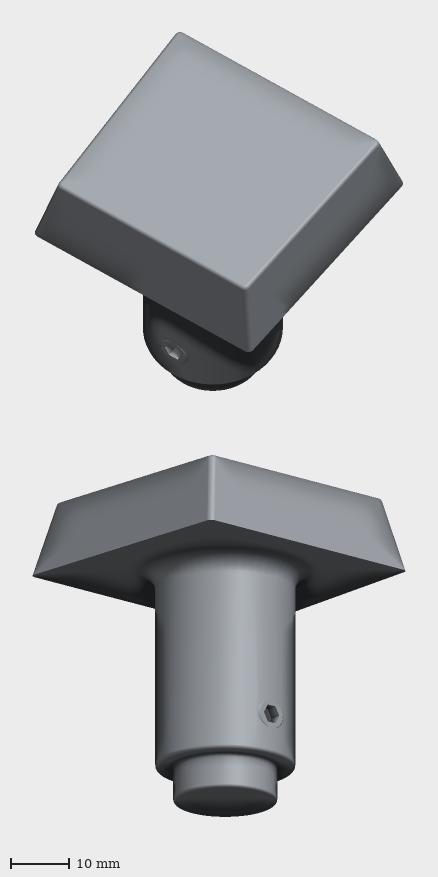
import cadquery as cq
import math

total_height = 54.0
spigot_height = 6.0
head_height = 13.0
head_base_z = total_height - head_height

stem_diameter = 24.0
spigot_diameter = 17.8
neck_fillet = 3.0
stem_edge_fillet = 0.6
spigot_root_fillet = 0.5
spigot_tip_fillet = 0.5

head_depth = 45.0
head_back_width = 48.05
head_flare_angle = 2.0
head_draft_angle = 13.0
head_offset_y = 0.75
head_corner_fillet = 1.0
head_top_fillet = 0.65

screw_diameter = 6.0
screw_face_diameter = 5.0
screw_length = 6.0
screw_height = 7.0
screw_z = spigot_height + screw_height
screw_chamfer = (screw_diameter - screw_face_diameter) / 2
hex_across_flats = 3.0
hex_sides = 6
hex_across_corners = hex_across_flats / math.cos(math.pi / hex_sides)
hex_depth = 2.0

screw_face_plane = cq.Plane(
    origin=(0, -stem_diameter / 2, screw_z), xDir=(1, 0, 0), normal=(0, -1, 0)
)

arc_mid_share = 1 - math.sqrt(0.5)


def make_head():
    """Drafted trapezoidal block with rounded corners and a rounded top edge."""
    narrowing = head_depth * math.tan(math.radians(head_flare_angle))
    back_half = head_back_width / 2
    front_half = back_half - narrowing
    back_y = head_offset_y + head_depth / 2
    front_y = head_offset_y - head_depth / 2
    block = (
        cq.Workplane("XY")
        .workplane(offset=head_base_z)
        .polyline([
            (-front_half, front_y),
            (front_half, front_y),
            (back_half, back_y),
            (-back_half, back_y),
        ])
        .close()
        .extrude(head_height, taper=head_draft_angle)
    )
    rounded = block.edges("not(#Z)").fillet(head_corner_fillet)
    return rounded.faces(">Z").edges().fillet(head_top_fillet)


def make_stem():
    """Stem and spigot as one turned profile, flared where it meets the head."""
    stem_radius = stem_diameter / 2
    spigot_radius = spigot_diameter / 2
    flare_mid = neck_fillet * arc_mid_share
    edge_mid = stem_edge_fillet * arc_mid_share
    root_mid = spigot_root_fillet * arc_mid_share
    tip_mid = spigot_tip_fillet * arc_mid_share
    profile = (
        cq.Workplane("XZ")
        .moveTo(0, 0)
        .lineTo(spigot_radius - spigot_tip_fillet, 0)
        .threePointArc((spigot_radius - tip_mid, tip_mid), (spigot_radius, spigot_tip_fillet))
        .lineTo(spigot_radius, spigot_height - spigot_root_fillet)
        .threePointArc(
            (spigot_radius + root_mid, spigot_height - root_mid),
            (spigot_radius + spigot_root_fillet, spigot_height),
        )
        .lineTo(stem_radius - stem_edge_fillet, spigot_height)
        .threePointArc(
            (stem_radius - edge_mid, spigot_height + edge_mid),
            (stem_radius, spigot_height + stem_edge_fillet),
        )
        .lineTo(stem_radius, head_base_z - neck_fillet)
        .threePointArc(
            (stem_radius + flare_mid, head_base_z - flare_mid),
            (stem_radius + neck_fillet, head_base_z),
        )
        .lineTo(0, head_base_z)
        .close()
    )
    return profile.revolve(360, (0, 0, 0), (0, 1, 0))


def make_screw_blank():
    """Screw without its socket; its face is level with the front of the stem."""
    return (
        cq.Workplane(screw_face_plane)
        .circle(screw_diameter / 2)
        .extrude(-screw_length)
        .faces("<Y")
        .edges()
        .chamfer(screw_chamfer)
    )


def make_set_screw():
    """Screw with a hexagon socket in its face, two corners level along X."""
    socket = (
        cq.Workplane(screw_face_plane)
        .polygon(hex_sides, hex_across_corners)
        .extrude(-hex_depth)
    )
    return make_screw_blank().cut(socket).solids()


def make_knob():
    """Head and stem in one piece, with a seat that fits the set screw."""
    return make_head().union(make_stem()).cut(make_screw_blank()).solids()


knob = make_knob()
set_screw = make_set_screw()

result = cq.Compound.makeCompound([knob.val(), set_screw.val()])